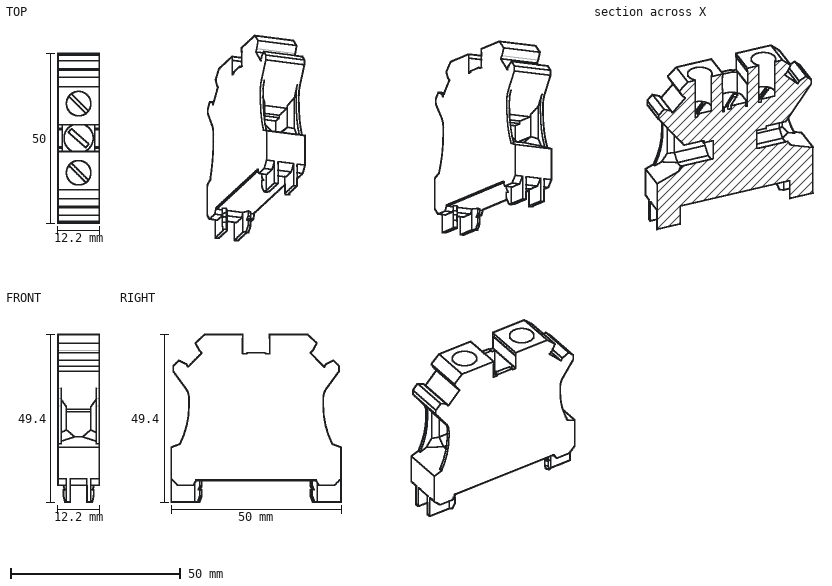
import cadquery as cq
import math


width = 12.15
half_length = 25.0
height = 49.35
mid_x = width / 2

foot_bottom_z = 4.9
foot_chamfer = 1.95
foot_inner_y = 18.5
rail_edge_y = 17.7
rail_recess_z = 6.25
rail_bevel = 0.3
shoulder_edge_z = 16.15
shoulder_inner_y = 22.45
shoulder_slope = 0.37

waist_y = 19.8
arc_top_z = 28.3
waist_fillet = 5.0

lip_outer_y = 24.45
lip_low_z = 38.5
lip_high_z = 40.0
lip_tip_y = 22.75
lip_tip_z = 41.7
lip_heel_y = 20.5
lip_heel_z = 40.6
underside_run = 0.73
valley_y = 20.05
valley_z = 39.8
undercut_y = 16.0
head_heel_y = 16.8
head_heel_z = 44.7
head_side_y = 17.9
head_side_z = 46.8
head_top_y = 15.15

notch_half = 4.0
notch_floor_z = 43.65
ridge_top_z = 44.0
ridge_base_half = 2.9
ridge_top_half = 2.5
notch_rim_height = 1.2
notch_rim_overhang = 0.1

lip_wall = 0.9
throat_wall = 2.5
throat_y = 16.3
flare_start_y = 16.8
throat_side_bottom_z = 21.25
throat_floor_wall = 4.9
floor_meets_wall_y = 20.25
throat_step_y = 10.0
throat_end_y = 7.0
inner_ceiling_z = 26.55

wire_hole_y = 10.18
wire_hole_radius = 3.6
wire_hole_depth = 12.0
wire_slot_width = 1.03
wire_slot_angle = -45.0
bridge_screw_radius = 4.3
bridge_slot_length = 6.8
bridge_slot_width = 1.4
bridge_slot_angle = -41.5
bridge_well_wall = 1.3
bridge_well_z = 36.0
slot_depth = 1.0
bridge_head_height = 1.5

blade_thickness = 1.15
blade_outer_x = 2.5
blade_top_z = foot_bottom_z + foot_chamfer
bend_y = 18.0
bend_angle = math.radians(32)
clip_length = 1.71
barb_z = 3.6
barb_top_z = 4.75
barb_depth = 0.6
lead_in_z = 1.85
lead_in_depth = 0.8


def shoulder_z(y):
    """Height of the sloped shoulder, extended inwards, at a given Y."""
    return shoulder_edge_z + shoulder_slope * (half_length - y)


def underside_z(y):
    """Height of the sloped lip underside, extended inwards, at a given Y."""
    return lip_low_z - (lip_outer_y - y) / underside_run


def mirrored_across_middle(shape):
    """The shape together with its mirror image across the plane X = mid_x."""
    return shape.union(shape.mirror("YZ", (mid_x, 0, 0)))


def half_housing():
    """Solid housing for Y > 0, before the wire entry is cut."""
    arc_bottom = (shoulder_inner_y, shoulder_z(shoulder_inner_y))
    undercut_z = head_heel_z - (head_heel_y - undercut_y)
    outline = (
        cq.Workplane("YZ")
        .moveTo(0, rail_recess_z)
        .lineTo(0, ridge_top_z)
        .lineTo(ridge_top_half, ridge_top_z)
        .lineTo(ridge_base_half, notch_floor_z)
        .lineTo(notch_half, notch_floor_z)
        .lineTo(notch_half, height - notch_rim_height)
        .lineTo(notch_half - notch_rim_overhang, height - notch_rim_height)
        .lineTo(notch_half - notch_rim_overhang, height)
        .lineTo(head_top_y, height)
        .lineTo(head_side_y, head_side_z)
        .lineTo(head_heel_y, head_heel_z)
        .lineTo(undercut_y, undercut_z)
        .lineTo(valley_y, valley_z)
        .lineTo(lip_heel_y, lip_heel_z)
        .lineTo(lip_tip_y, lip_tip_z)
        .lineTo(lip_outer_y, lip_high_z)
        .lineTo(lip_outer_y, lip_low_z)
        .lineTo(waist_y, underside_z(waist_y))
        .lineTo(waist_y, arc_top_z)
        .tangentArcPoint(arc_bottom, relative=False)
        .lineTo(half_length, shoulder_edge_z)
        .lineTo(half_length, foot_bottom_z + foot_chamfer)
        .lineTo(half_length - foot_chamfer, foot_bottom_z)
        .lineTo(foot_inner_y, foot_bottom_z)
        .lineTo(rail_edge_y, rail_recess_z)
        .close()
    )
    housing = outline.extrude(width)
    waist_corner = cq.selectors.NearestToPointSelector((mid_x, waist_y, underside_z(waist_y)))
    housing = housing.edges(waist_corner).fillet(waist_fillet)
    return housing.cut(rail_edge_bevels())


def rail_edge_bevels():
    """Bevels on the two long lower edges of the rail recess."""
    bevel = (
        cq.Workplane("XZ")
        .polyline([(0, rail_recess_z), (rail_bevel, rail_recess_z), (0, rail_recess_z + rail_bevel)])
        .close()
        .extrude(-rail_edge_y)
    )
    return mirrored_across_middle(bevel)


def entry_funnel():
    """Open pocket between the lip walls, flaring outwards from the throat."""
    outer_y = half_length + 1
    flare_end_y = flare_start_y + throat_wall - lip_wall
    side_view = (
        cq.Workplane("YZ")
        .polyline([
            (throat_y, underside_z(throat_y)),
            (lip_outer_y, lip_low_z),
            (outer_y, lip_low_z),
            (outer_y, shoulder_z(outer_y)),
            (throat_y, shoulder_z(throat_y)),
        ])
        .close()
        .extrude(width)
    )
    plan_half = [
        (throat_wall, throat_y),
        (throat_wall, flare_start_y),
        (lip_wall, flare_end_y),
        (lip_wall, outer_y),
    ]
    plan_other_half = [(width - x, y) for x, y in reversed(plan_half)]
    plan = (
        cq.Workplane("XY")
        .polyline(plan_half + plan_other_half)
        .close()
        .extrude(height)
    )
    return side_view.intersect(plan).cut(funnel_corners())


def funnel_corners():
    """Sloped fillings in the two lower rear corners of the funnel."""
    side_corner = cq.Vector(throat_wall, flare_start_y, throat_side_bottom_z)
    floor_corner = cq.Vector(throat_floor_wall, flare_start_y, shoulder_z(flare_start_y))
    wall_corner = cq.Vector(lip_wall, floor_meets_wall_y, shoulder_z(floor_meets_wall_y))
    facing = (floor_corner - side_corner).cross(wall_corner - side_corner)
    facet = cq.Plane(origin=side_corner.toTuple(), normal=facing.toTuple())
    filling_size = 20.0
    filling = cq.Workplane(facet).rect(filling_size, filling_size).extrude(-filling_size)
    return mirrored_across_middle(filling)


def wire_passage(end_y, ceiling_z):
    """Passage with bevelled lower corners, from the funnel in to end_y."""
    floor_z = shoulder_z(flare_start_y)
    profile_half = [
        (throat_wall, ceiling_z),
        (throat_wall, throat_side_bottom_z),
        (throat_floor_wall, floor_z),
    ]
    profile_other_half = [(width - x, z) for x, z in reversed(profile_half)]
    return (
        cq.Workplane("XZ", origin=(0, end_y, 0))
        .polyline(profile_half + profile_other_half)
        .close()
        .extrude(-(flare_start_y - end_y))
    )


def blade():
    """One metal foot with its clip bent towards the near side face."""
    along = cq.Vector(-math.sin(bend_angle), -math.cos(bend_angle), 0)
    across = cq.Vector(math.cos(bend_angle), -math.sin(bend_angle), 0)
    bend = cq.Vector(blade_outer_x, bend_y, 0)
    tip_outer = bend + along * clip_length
    tip_inner = tip_outer + across * blade_thickness
    inner_x = blade_outer_x + blade_thickness
    inner_bend_y = bend_y - blade_thickness * math.tan(bend_angle / 2)
    plate = (
        cq.Workplane("XY")
        .polyline([
            (blade_outer_x, half_length),
            (blade_outer_x, bend_y),
            (tip_outer.x, tip_outer.y),
            (tip_inner.x, tip_inner.y),
            (inner_x, inner_bend_y),
            (inner_x, half_length),
        ])
        .close()
        .extrude(blade_top_z)
    )
    clip_normal = along.cross(cq.Vector(0, 0, 1))
    clip_face = cq.Plane(origin=tip_outer.toTuple(), xDir=along.toTuple(), normal=clip_normal.toTuple())
    barb = (
        cq.Workplane(clip_face)
        .polyline([(0, barb_top_z), (0, barb_z), (-barb_depth, barb_z)])
        .close()
        .extrude(blade_thickness, both=True)
    )
    lead_in = (
        cq.Workplane(clip_face)
        .polyline([(0, lead_in_z), (0, 0), (-lead_in_depth, 0)])
        .close()
        .extrude(blade_thickness, both=True)
    )
    return plate.cut(barb).cut(lead_in)


def driver_slot(y, floor_z, length, slot_width, angle):
    """Screwdriver slot sunk below a screw head at floor_z."""
    return (
        cq.Workplane("XY", origin=(mid_x, y, floor_z))
        .transformed(rotate=(0, 0, angle))
        .rect(length, slot_width)
        .extrude(-slot_depth)
    )


def wire_screw_hole(y):
    """Access hole down to a slotted clamping screw."""
    floor_z = height - wire_hole_depth
    hole = cq.Workplane("XY", origin=(mid_x, y, floor_z)).circle(wire_hole_radius).extrude(wire_hole_depth)
    slot = driver_slot(y, floor_z, 2 * wire_hole_radius, wire_slot_width, wire_slot_angle)
    return hole.union(slot)


def bridge_well():
    """Rectangular well in the notch, open above the bridge screw."""
    return (
        cq.Workplane("XY", origin=(mid_x, 0, bridge_well_z))
        .rect(width - 2 * bridge_well_wall, 2 * (notch_half - notch_rim_overhang))
        .extrude(ridge_top_z - bridge_well_z)
    )


def bridge_screw():
    """Slotted screw head on the floor of the well, cropped by the well sides."""
    head_top_z = bridge_well_z + bridge_head_height
    head = (
        cq.Workplane("XY", origin=(mid_x, 0, bridge_well_z))
        .circle(bridge_screw_radius)
        .extrude(bridge_head_height)
        .intersect(bridge_well())
    )
    return head.cut(
        driver_slot(0, head_top_z, bridge_slot_length, bridge_slot_width, bridge_slot_angle)
    )


half = half_housing().cut(entry_funnel())
half = half.cut(wire_passage(throat_step_y, underside_z(throat_y)))
half = half.cut(wire_passage(throat_end_y, inner_ceiling_z))
half = half.union(mirrored_across_middle(blade()))
block = half.union(half.mirror("XZ")).clean()

for hole_y in (-wire_hole_y, wire_hole_y):
    block = block.cut(wire_screw_hole(hole_y))

result = block.cut(bridge_well()).union(bridge_screw())